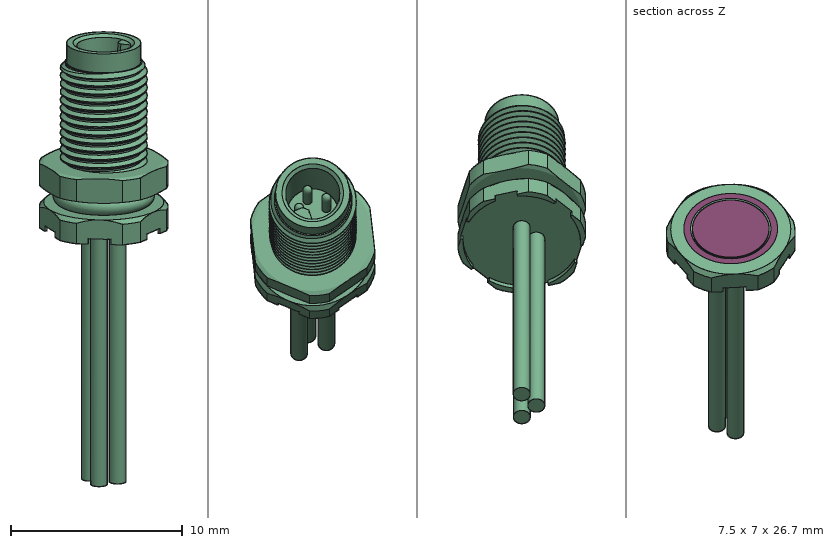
import cadquery as cq
import math

total_height = 26.7
collar_height = 1.15
nut_top = 19.5
nut_height = 1.5
flange_top = 16.98
flange_height = 1.5
flange_bottom = flange_top - flange_height

collar_radius = 2.15
root_radius = 2.25
crest_radius = 2.54
thread_base_width = 0.4
thread_crest_width = 0.067
thread_embed = 0.05
crest_clearance = 0.05
crest_level = 25.12
helix_height = 7.37
thread_turns = 14.75
pitch = helix_height / thread_turns
run_out_turns = 1.25
lead_in_height = 0.4
thread_top = total_height - collar_height

across_flats = 7.0
across_turned_corners = 7.5
corner_radius = across_turned_corners / 2
corner_bevel = corner_radius - across_flats / 2
nut_bevel_height = 0.08
flange_bevel_height = 0.25

recess_radius = 3.42
recess_depth = 0.32
notch_width = 1.34

ring_outer_radius = 2.96
ring_section_radius = 0.43

bore_radius = 1.58
bore_draft = 1.3
bore_mouth_radius = 1.8
mouth_depth = 0.15
bore_depth = 3.5
bore_floor = total_height - bore_depth
rib_tip_y = 0.93
rib_tip_width = 0.45
rib_base_y = 1.75
rib_base_width = 1.92
contact_spacing = 1.2
contact_offset = contact_spacing / 2
contact_places = [
    (-contact_offset, -contact_offset),
    (contact_offset, -contact_offset),
    (contact_offset, contact_offset),
]
pin_radius = 0.27
pin_setback = 1.47
pin_tip = total_height - pin_setback
wire_diameter = 1.0
wire_radius = wire_diameter / 2


def cylinder(radius, bottom, top):
    return cq.Workplane("XY").workplane(offset=bottom).circle(radius).extrude(top - bottom)


def turned_hexagon(bottom, height, top_bevel, bottom_bevel=0):
    """Hexagonal prism, corners on X, with turned-down and bevelled corners."""
    across_corners = across_flats / math.cos(math.radians(30))
    prism = cq.Workplane("XY").workplane(offset=bottom).polygon(6, across_corners).extrude(height)
    envelope = cylinder(corner_radius, bottom, bottom + height)
    envelope = envelope.faces(">Z").chamfer(top_bevel, corner_bevel)
    if bottom_bevel:
        envelope = envelope.faces("<Z").chamfer(bottom_bevel, corner_bevel)
    return prism.intersect(envelope)


def flange():
    """Hexagonal flange with a shallow recess underneath and a notch through each rim side."""
    body = turned_hexagon(flange_bottom, flange_height, flange_bevel_height)
    recess_top = flange_bottom + recess_depth
    body = body.cut(cylinder(recess_radius, flange_bottom, recess_top))
    notch_pairs = 3
    for index in range(notch_pairs):
        notch_pair = (
            cq.Workplane("XY")
            .workplane(offset=flange_bottom)
            .rect(notch_width, 2 * corner_radius)
            .extrude(recess_depth)
            .rotate((0, 0, 0), (0, 0, 1), 180 / notch_pairs * index)
        )
        body = body.cut(notch_pair)
    return body


def thread():
    """Right-hand helical ridge, tapered to the root at its upper end."""
    start_level = crest_level - (thread_turns - run_out_turns) * pitch
    helix = cq.Wire.makeHelix(pitch, helix_height, root_radius).moved(
        cq.Location(cq.Vector(0, 0, start_level))
    )
    inner = root_radius - thread_embed
    flank_slope = (thread_base_width - thread_crest_width) / (crest_radius - root_radius)
    half_base = (thread_base_width + flank_slope * thread_embed) / 2
    half_crest = thread_crest_width / 2
    ridge = (
        cq.Workplane("XZ")
        .moveTo(inner, start_level - half_base)
        .lineTo(crest_radius, start_level - half_crest)
        .lineTo(crest_radius, start_level + half_crest)
        .lineTo(inner, start_level + half_base)
        .close()
        .sweep(cq.Workplane(obj=helix), isFrenet=True)
    )
    envelope_radius = crest_radius + crest_clearance
    envelope = cylinder(envelope_radius, nut_top - nut_height / 2, thread_top)
    envelope = envelope.faces(">Z").chamfer(lead_in_height, envelope_radius - root_radius)
    return ridge.intersect(envelope)


def sealing_ring():
    center_radius = ring_outer_radius - ring_section_radius
    ring = cq.Solid.makeTorus(center_radius, ring_section_radius)
    return cq.Workplane(obj=ring).translate((0, 0, flange_top + ring_section_radius))


def coding_rib():
    """Drafted rib on the +Y side of the bore, running from the floor up to the mouth."""
    return (
        cq.Workplane("XY")
        .workplane(offset=bore_floor)
        .moveTo(-rib_tip_width / 2, rib_tip_y)
        .lineTo(rib_tip_width / 2, rib_tip_y)
        .lineTo(rib_base_width / 2, rib_base_y)
        .lineTo(-rib_base_width / 2, rib_base_y)
        .close()
        .extrude(bore_depth - mouth_depth, taper=bore_draft)
    )


def socket():
    """Blind drafted bore with a bevelled mouth, leaving the coding rib standing."""
    bore_plane = cq.Workplane("XY").workplane(offset=total_height - mouth_depth)
    bore = bore_plane.circle(bore_radius).extrude(mouth_depth - bore_depth, taper=bore_draft)
    mouth = (
        bore_plane.circle(bore_radius)
        .workplane(offset=mouth_depth)
        .circle(bore_mouth_radius)
        .loft()
    )
    return bore.cut(coding_rib()).union(mouth)


def pin(place):
    """Round-tipped contact standing on the bore floor."""
    body = cylinder(pin_radius, bore_floor, pin_tip - pin_radius)
    dome = cq.Workplane("XY").sphere(pin_radius).translate((0, 0, pin_tip - pin_radius))
    return body.union(dome).translate((*place, 0))


def wire(place):
    return cylinder(wire_radius, 0, flange_bottom + recess_depth).translate((*place, 0))


sleeve = cylinder(root_radius, flange_bottom + recess_depth, thread_top)
sleeve = sleeve.union(cylinder(collar_radius, thread_top, total_height))
sleeve = sleeve.union(thread())

result = (
    sleeve.union(turned_hexagon(nut_top - nut_height, nut_height, nut_bevel_height, nut_bevel_height))
    .union(flange())
    .union(sealing_ring())
    .cut(socket())
)
for contact_place in contact_places:
    result = result.union(pin(contact_place)).union(wire(contact_place))